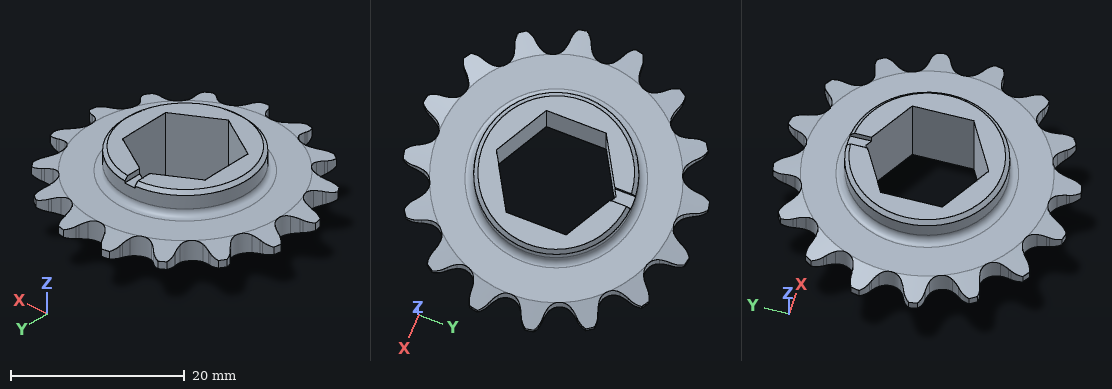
import cadquery as cq
import math


TOOTH_COUNT = 16
PITCH = 6.35
ROLLER_DIAMETER = 3.302

TOTAL_HEIGHT = 9.53
PLATE_THICKNESS = 2.8
TOOTH_TAPER_ANGLE = 15.0
HUB_RADIUS = 9.525
HUB_CHAMFER = 0.5
HUB_FILLET = 1.0

HEX_ACROSS_FLATS = 12.8
NOTCH_WIDTH = 1.588
NOTCH_DEPTH = 0.75

SEAT_CLEARANCE_FACTOR = 1.005
SEAT_CLEARANCE = 0.0762
SEAT_ANGLE = 35 + 60 / TOOTH_COUNT
WORKING_ANGLE = 18 - 56 / TOOTH_COUNT
TOPPING_ANGLE = 17 - 64 / TOOTH_COUNT
WORKING_OFFSET = 0.8 * ROLLER_DIAMETER
TOPPING_OFFSET = 1.4 * ROLLER_DIAMETER
TIP_HEIGHT_FACTOR = 0.596

CUT_MARGIN = 1.0

TOOTH_STEP = 360 / TOOTH_COUNT
HALF_STEP = TOOTH_STEP / 2
PITCH_RADIUS = PITCH / 2 / math.sin(math.radians(HALF_STEP))
OUTER_RADIUS = PITCH / 2 * (TIP_HEIGHT_FACTOR + 1 / math.tan(math.radians(HALF_STEP)))
PLATE_FLAT_RADIUS = PITCH_RADIUS - ROLLER_DIAMETER / 2
SEAT_RADIUS = (SEAT_CLEARANCE_FACTOR * ROLLER_DIAMETER + SEAT_CLEARANCE) / 2
WORKING_RADIUS = SEAT_RADIUS + WORKING_OFFSET
TOPPING_RADIUS = (
    WORKING_OFFSET * math.cos(math.radians(WORKING_ANGLE))
    + TOPPING_OFFSET * math.cos(math.radians(TOPPING_ANGLE))
    - WORKING_RADIUS
)
HALF_HEIGHT = TOTAL_HEIGHT / 2
HALF_PLATE = PLATE_THICKNESS / 2
HALF_TIP = HALF_PLATE - (OUTER_RADIUS - PLATE_FLAT_RADIUS) * math.tan(math.radians(TOOTH_TAPER_ANGLE))


def polar(center, radius, angle):
    """Point at a radius and an angle in degrees about a center."""
    angle = math.radians(angle)
    return center[0] + radius * math.cos(angle), center[1] + radius * math.sin(angle)


def mirrored(point):
    """Point reflected to the other side of the gap centered on +Y."""
    return -point[0], point[1]


def make_tapered_disc():
    """Turned disc whose rim thins toward the tooth tips on both faces."""
    return (
        cq.Workplane("XZ")
        .moveTo(0, -HALF_PLATE)
        .lineTo(PLATE_FLAT_RADIUS, -HALF_PLATE)
        .lineTo(OUTER_RADIUS, -HALF_TIP)
        .lineTo(OUTER_RADIUS, HALF_TIP)
        .lineTo(PLATE_FLAT_RADIUS, HALF_PLATE)
        .lineTo(0, HALF_PLATE)
        .close()
        .revolve(360, (0, 0, 0), (0, 1, 0))
    )


def make_tooth_gap():
    """Cutter for the tooth gap centered on +Y.

    Each side runs from the roller seat through the working curve, a short straight line and the
    topping curve to the tooth tip. The +X side is worked out and mirrored to the -X side.
    """
    seat_center = (0, PITCH_RADIUS)
    working_center = polar(seat_center, WORKING_OFFSET, 180 - SEAT_ANGLE)
    topping_center = polar(seat_center, TOPPING_OFFSET, -HALF_STEP)
    line_angle = SEAT_ANGLE - WORKING_ANGLE

    center_distance = math.hypot(*topping_center)
    center_angle = math.degrees(math.atan2(topping_center[1], topping_center[0]))
    tip_cosine = (OUTER_RADIUS**2 - center_distance**2 - TOPPING_RADIUS**2) / (
        2 * center_distance * TOPPING_RADIUS
    )
    topping_angle = 180 - line_angle
    tip_angle = center_angle + math.degrees(math.acos(tip_cosine))

    root = polar(seat_center, SEAT_RADIUS, -90)
    seat_end = polar(seat_center, SEAT_RADIUS, -SEAT_ANGLE)
    working_middle = polar(working_center, WORKING_RADIUS, -(SEAT_ANGLE + line_angle) / 2)
    working_end = polar(working_center, WORKING_RADIUS, -line_angle)
    topping_start = polar(topping_center, TOPPING_RADIUS, topping_angle)
    topping_middle = polar(topping_center, TOPPING_RADIUS, (topping_angle + tip_angle) / 2)
    tip = polar(topping_center, TOPPING_RADIUS, tip_angle)
    outside = (tip[0], tip[1] + CUT_MARGIN)

    return (
        cq.Workplane("XY")
        .workplane(offset=-HALF_PLATE)
        .moveTo(*mirrored(outside))
        .lineTo(*mirrored(tip))
        .threePointArc(mirrored(topping_middle), mirrored(topping_start))
        .lineTo(*mirrored(working_end))
        .threePointArc(mirrored(working_middle), mirrored(seat_end))
        .threePointArc(root, seat_end)
        .threePointArc(working_middle, working_end)
        .lineTo(*topping_start)
        .threePointArc(topping_middle, tip)
        .lineTo(*outside)
        .close()
        .extrude(PLATE_THICKNESS)
    )


def make_toothed_plate():
    """Tapered disc with the tooth gaps cut around its rim."""
    plate = make_tapered_disc()
    gap = make_tooth_gap()
    for index in range(TOOTH_COUNT):
        plate = plate.cut(gap.rotate((0, 0, 0), (0, 0, 1), index * TOOTH_STEP))
    return plate


def make_hub():
    """Turned hub with chamfered ends and concave fillets down to the plate faces."""
    fillet_top = HALF_PLATE + HUB_FILLET
    fillet_center = (HUB_RADIUS + HUB_FILLET, fillet_top)
    fillet_middle = polar(fillet_center, HUB_FILLET, -135)
    fillet_end_radius = fillet_center[0]
    return (
        cq.Workplane("XZ")
        .moveTo(0, -HALF_HEIGHT)
        .lineTo(HUB_RADIUS - HUB_CHAMFER, -HALF_HEIGHT)
        .lineTo(HUB_RADIUS, -HALF_HEIGHT + HUB_CHAMFER)
        .lineTo(HUB_RADIUS, -fillet_top)
        .threePointArc((fillet_middle[0], -fillet_middle[1]), (fillet_end_radius, -HALF_PLATE))
        .lineTo(fillet_end_radius, HALF_PLATE)
        .threePointArc(fillet_middle, (HUB_RADIUS, fillet_top))
        .lineTo(HUB_RADIUS, HALF_HEIGHT - HUB_CHAMFER)
        .lineTo(HUB_RADIUS - HUB_CHAMFER, HALF_HEIGHT)
        .lineTo(0, HALF_HEIGHT)
        .close()
        .revolve(360, (0, 0, 0), (0, 1, 0))
    )


def make_hex_bore():
    """Hexagonal prism through the full height with corners on +Y and -Y."""
    corner_diameter = HEX_ACROSS_FLATS / math.cos(math.radians(30))
    return (
        cq.Workplane("XY")
        .workplane(offset=-HALF_HEIGHT)
        .transformed(rotate=(0, 0, 90))
        .polygon(6, corner_diameter)
        .extrude(TOTAL_HEIGHT)
    )


def make_notch():
    """Radial slot in the top face, from the bore out through the hub rim on the +Y side."""
    return (
        cq.Workplane("XY")
        .workplane(offset=HALF_HEIGHT - NOTCH_DEPTH)
        .center(0, HUB_RADIUS / 2)
        .rect(NOTCH_WIDTH, HUB_RADIUS)
        .extrude(NOTCH_DEPTH)
    )


result = make_toothed_plate().union(make_hub()).cut(make_hex_bore()).cut(make_notch())